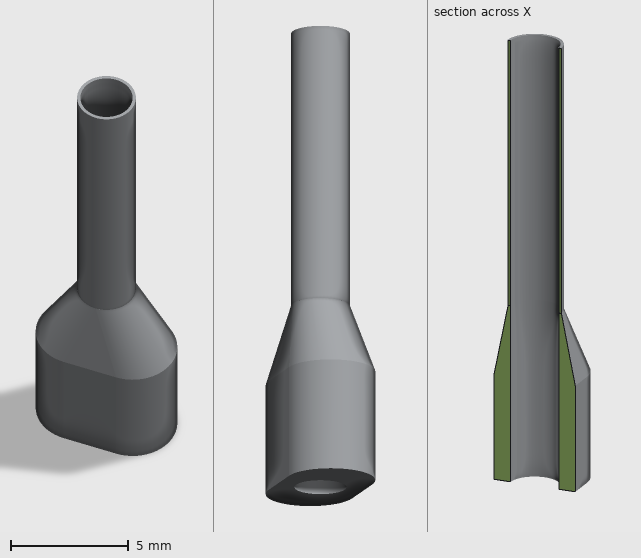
import cadquery as cq

total_height = 20.0
base_height = 4.8
taper_height = 3.2
base_length = 6.2
base_width = 3.8
tube_diameter = 2.5
bore_diameter = 2.22

collar_height = base_height + taper_height
tube_length = total_height - collar_height
tube_radius = tube_diameter / 2
end_radius = base_width / 2
end_center_x = base_length / 2 - end_radius


def taper_end():
    """Ruled half of the taper on +X: a half circle at the bottom, a half circle at the top."""
    def half_disc(center_x, radius, height):
        return (
            cq.Wire.assembleEdges([
                cq.Edge.makeThreePointArc(
                    cq.Vector(center_x, -radius, height),
                    cq.Vector(center_x + radius, 0, height),
                    cq.Vector(center_x, radius, height),
                ),
                cq.Edge.makeLine(
                    cq.Vector(center_x, radius, height),
                    cq.Vector(center_x, -radius, height),
                ),
            ])
        )

    bottom = half_disc(end_center_x, end_radius, base_height)
    top = half_disc(0, tube_radius, collar_height)
    return cq.Workplane(cq.Solid.makeLoft([bottom, top], True))


def taper_middle():
    """Wedge between the taper ends, narrowing to the tube's diameter along Y at the top."""
    side_profile = (
        cq.Workplane("YZ")
        .moveTo(-end_radius, base_height)
        .lineTo(end_radius, base_height)
        .lineTo(tube_radius, collar_height)
        .lineTo(-tube_radius, collar_height)
        .close()
        .extrude(end_center_x, both=True)
    )
    triangle = (
        cq.Workplane("XZ")
        .moveTo(-end_center_x, base_height)
        .lineTo(end_center_x, base_height)
        .lineTo(0, collar_height)
        .close()
        .extrude(end_radius, both=True)
    )
    return side_profile.intersect(triangle)


def make_collar():
    """Slot-shaped insulating collar that tapers to the round tube."""
    base = cq.Workplane("XY").slot2D(base_length, base_width).extrude(base_height)
    right_end = taper_end()
    left_end = right_end.mirror("YZ")
    bore = cq.Workplane("XY").circle(bore_diameter / 2).extrude(collar_height)
    return base.union(taper_middle()).union(right_end).union(left_end).cut(bore).solids()


def make_tube():
    """Thin-walled crimp tube standing on the collar, in line with its bore."""
    return (
        cq.Workplane("XY", origin=(0, 0, collar_height))
        .circle(tube_radius)
        .circle(bore_diameter / 2)
        .extrude(tube_length)
    )


collar = make_collar()
tube = make_tube()
result = cq.Compound.makeCompound([collar.val(), tube.val()])